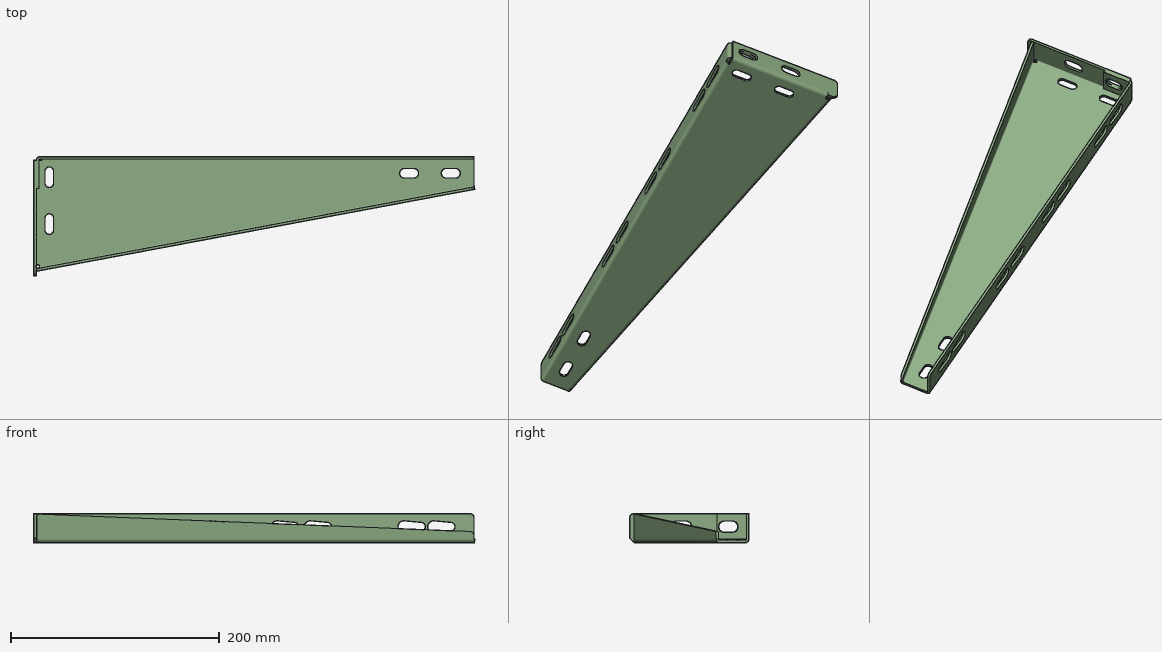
import cadquery as cq
import math

length = 423.08
end_plate_width = 114.4
height = 28.0

sheet = 2.5
bend_inner_radius = 1.0
bend_outer_radius = sheet + bend_inner_radius

edge_radius = 4.0

skew_angle = math.radians(10.6)
front_corner_y = -110.6
root_flange_height = 27.75
tip_flange_height = 10.75
tip_setback = 1.0
end_plate_clearance = 0.5
front_flange_start_x = sheet + end_plate_clearance
along = (math.cos(skew_angle), math.sin(skew_angle))
inward = (-math.sin(skew_angle), math.cos(skew_angle))
base_end_x = length - bend_outer_radius * math.sin(skew_angle)

end_plate_start_y = -3.5
end_bend_end_y = -104.5
end_plate_chamfer = 4.5

tab_length = 30.7
tab_bottom_z = bend_outer_radius
back_bend_start_x = 8.0

relief_radius = 1.6
relief_center = (4.0, -105.5)

end_slot_size = (19.5, 10.5)
tab_slot_length = 18.0
base_end_slot_size = (19.5, 8.0)
base_tip_slot_size = (18.0, 9.0)
slot_z = 15.5
cross_slot_ys = (-19.75, -64.75)
base_end_slot_x = 15.0
base_tip_slot_xs = (360.0, 400.0)
base_tip_slot_y = -16.0

back_slot_pairs = ((38.0, 31.0), (146.0, 31.0), (241.0, 31.5), (362.5, 28.5))
back_slot_length = 26.0
back_slot_root_radius = 5.5
back_slot_tip_radius = 4.0


def front_outer_y(x):
    """Y of the front flange's outer face at a given X."""
    return front_corner_y + x * math.tan(skew_angle)


def bent_flange(plane, run):
    """Upright flange with its bend; local x points inward over the base, local y points up."""
    mid = math.sqrt(0.5)
    r_out = bend_outer_radius
    r_in = bend_inner_radius
    return (
        cq.Workplane(plane)
        .moveTo(r_out, 0)
        .threePointArc((r_out - r_out * mid, r_out - r_out * mid), (0, r_out))
        .lineTo(0, height)
        .lineTo(sheet, height)
        .lineTo(sheet, r_out)
        .threePointArc((r_out - r_in * mid, r_out - r_in * mid), (r_out, sheet))
        .close()
        .extrude(run)
    )


def base_plate():
    """Flat web between the bend lines of the three flanges."""
    setback = bend_outer_radius / math.cos(skew_angle)
    return (
        cq.Workplane("XY")
        .moveTo(bend_outer_radius, -bend_outer_radius)
        .lineTo(base_end_x, -bend_outer_radius)
        .lineTo(base_end_x, front_outer_y(base_end_x) + setback)
        .lineTo(bend_outer_radius, front_outer_y(bend_outer_radius) + setback)
        .close()
        .extrude(sheet)
    )


def back_flange():
    """Straight flange along the back, with a rounded top corner at the tip."""
    plane = cq.Plane(origin=(base_end_x, 0, 0), xDir=(0, -1, 0), normal=(-1, 0, 0))
    flange = bent_flange(plane, base_end_x - back_bend_start_x)
    return flange.edges("|Y and >X and >Z").fillet(edge_radius)


def lap_tab():
    """Tab that turns the corner from the back flange and lies against the end plate."""
    mid = math.sqrt(0.5)
    r_out = bend_outer_radius
    r_in = bend_inner_radius
    center_x = sheet + r_out
    return (
        cq.Workplane("XY", origin=(0, 0, tab_bottom_z))
        .moveTo(back_bend_start_x, 0)
        .lineTo(center_x, 0)
        .threePointArc((center_x - r_out * mid, -r_out + r_out * mid), (sheet, -r_out))
        .lineTo(sheet, -tab_length)
        .lineTo(2 * sheet, -tab_length)
        .lineTo(2 * sheet, -r_out)
        .threePointArc((center_x - r_in * mid, -r_out + r_in * mid), (center_x, -sheet))
        .lineTo(back_bend_start_x, -sheet)
        .close()
        .extrude(height - tab_bottom_z)
    )


def end_plate():
    """Bent end flange plus its flat ear that reaches past the front flange."""
    plane = cq.Plane(origin=(0, end_plate_start_y, 0), xDir=(1, 0, 0), normal=(0, -1, 0))
    bent = bent_flange(plane, end_plate_start_y - end_bend_end_y)
    ear_width = end_plate_width + end_bend_end_y
    ear = (
        cq.Workplane("XY")
        .box(sheet, ear_width, height, centered=False)
        .translate((0, -end_plate_width, 0))
        .edges("|X and <Y and <Z")
        .chamfer(end_plate_chamfer)
        .edges("|X and <Y and >Z")
        .fillet(edge_radius)
    )
    return bent.union(ear)


def front_flange():
    """Skewed flange whose top edge falls from near full height to the tip height."""
    inner_end_y = front_outer_y(base_end_x) + bend_outer_radius / math.cos(skew_angle)
    tip_y = inner_end_y - bend_outer_radius * math.cos(skew_angle)
    run = (length - front_flange_start_x) / math.cos(skew_angle)
    start = (length - run * along[0], tip_y - run * along[1], 0)
    plane = cq.Plane(origin=start, xDir=(inward[0], inward[1], 0), normal=(along[0], along[1], 0))
    flange = bent_flange(plane, run)
    taper = (
        cq.Workplane("XZ")
        .moveTo(0, root_flange_height)
        .lineTo(length, tip_flange_height)
        .lineTo(length + height, tip_flange_height)
        .lineTo(length + height, 2 * height)
        .lineTo(0, 2 * height)
        .close()
        .extrude(2 * end_plate_width)
    )
    tip_trim = (
        cq.Workplane("XY", origin=(0, 0, bend_outer_radius))
        .moveTo(length - tip_setback, 0)
        .rect(tip_setback, 2 * end_plate_width, centered=(False, True))
        .extrude(height)
    )
    return flange.cut(taper).cut(tip_trim).faces("+X").edges(">Z").fillet(edge_radius)


def cross_slot(size, y, start_x, depth):
    """Slot cutter along Y, running through in X."""
    return cq.Workplane("YZ", origin=(start_x, y, slot_z)).slot2D(*size).extrude(depth)


def base_slot(size, x, y, angle):
    """Vertical slot cutter through the base."""
    return cq.Workplane("XY", origin=(x, y, 0)).slot2D(*size, angle).extrude(sheet)


def back_slot(x):
    """Tapered slot cutter through the back flange, its wide end towards the end plate."""
    root_x = x - back_slot_length / 2 + back_slot_root_radius
    tip_x = x + back_slot_length / 2 - back_slot_tip_radius
    taper_sin = (back_slot_root_radius - back_slot_tip_radius) / (tip_x - root_x)
    taper_cos = math.sqrt(1 - taper_sin**2)
    root_tangent_x = root_x + back_slot_root_radius * taper_sin
    root_rise = back_slot_root_radius * taper_cos
    tip_tangent_x = tip_x + back_slot_tip_radius * taper_sin
    tip_rise = back_slot_tip_radius * taper_cos
    return (
        cq.Workplane("XZ", origin=(0, 0, slot_z))
        .moveTo(root_tangent_x, root_rise)
        .threePointArc((root_x - back_slot_root_radius, 0), (root_tangent_x, -root_rise))
        .lineTo(tip_tangent_x, -tip_rise)
        .threePointArc((tip_x + back_slot_tip_radius, 0), (tip_tangent_x, tip_rise))
        .close()
        .extrude(sheet)
    )


def corner_relief():
    """Round relief through the base where the end and front bends meet."""
    return cq.Workplane("XY").center(*relief_center).circle(relief_radius).extrude(bend_outer_radius)


result = base_plate()
for flange in (back_flange(), lap_tab(), end_plate(), front_flange()):
    result = result.union(flange)

for y in cross_slot_ys:
    result = result.cut(cross_slot(end_slot_size, y, 0, sheet))
    result = result.cut(base_slot(base_end_slot_size, base_end_slot_x, y, 90))
tab_slot = cross_slot((tab_slot_length, end_slot_size[1]), cross_slot_ys[0], sheet, sheet)
result = result.cut(tab_slot)

for x in base_tip_slot_xs:
    result = result.cut(base_slot(base_tip_slot_size, x, base_tip_slot_y, 0))

for first_x, spacing in back_slot_pairs:
    result = result.cut(back_slot(first_x)).cut(back_slot(first_x + spacing))

result = result.cut(corner_relief())